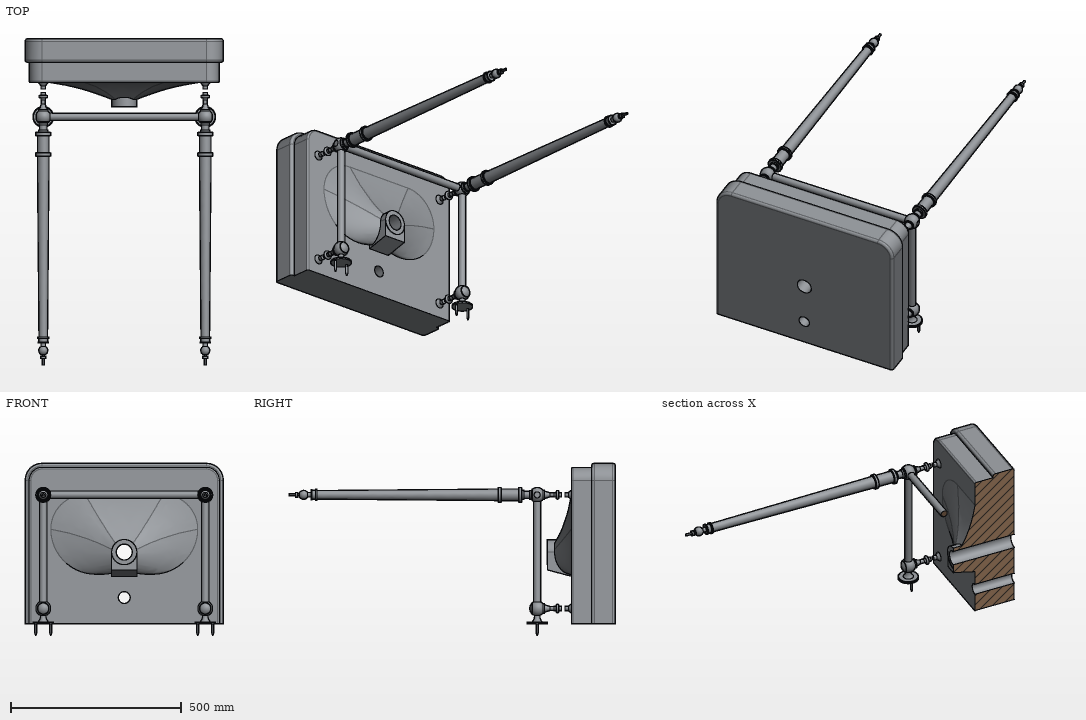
import cadquery as cq
import math


BASIN_WIDTH = 580.37
BASIN_DEPTH = 470.0
RIM_HEIGHT = 70.0
BASIN_HEIGHT = 129.0
RIM_OVERHANG = 12.0
RIM_CORNER_RADIUS = 50.0
RIM_FILLET = 8.0
UNDERSIDE_FILLET = 5.0

BOWL_HALF_WIDTH = 215.0
BOWL_SIDE_Z = 277.0
BOWL_UPPER_RADIUS = 101.0
BOWL_LOWER_RADIUS = 132.0
BOWL_LOWER_BEND_ANGLE = -60.0
BOWL_MIDDLE_Y = -155.0
BOWL_MIDDLE_TOP = (56.0, 281.0)
BOWL_MIDDLE_UPPER_BEND = (82.0, 268.0)
BOWL_MIDDLE_SIDE = (97.0, 245.0)
BOWL_MIDDLE_LOWER_BEND = (76.0, 172.0)
BOWL_MIDDLE_CUSP_Z = 162.0
BOWL_END_Y = -178.0

DRAIN_Z = 210.0
DRAIN_RADIUS = 36.8
DRAIN_HOLE_RADIUS = 23.0
DRAIN_END_Y = -200.0
DRAIN_TOP_ANGLE = 45.0
DRAIN_SIDE_ANGLE = 12.0
DRAIN_BLOCK_BASE_Z = 139.0
DRAIN_BLOCK_END_Z = 157.5
DRAIN_BLOCK_SETBACK = 1.0

TAP_HOLE_Z = 77.0
TAP_HOLE_RADIUS = 17.0

LEG_X = 237.0
LEG_Z = 377.5
WALL_JOINT_Z = 45.0
STAND_Y = -229.0
BALL_RADIUS = 22.0
BALL_END_FLAT_RADIUS = 9.0
BALL_COLLAR_RADIUS = 17.0
BALL_COLLAR_END = 15.0
RAIL_RADIUS = 11.0
CROSSBAR_SEAT = math.sqrt(BALL_RADIUS**2 - RAIL_RADIUS**2)

PAD_BASE_RADIUS = 14.0
STEM_RADIUS = 6.8
PAD_FLARE_LENGTH = 9.0
PAD_LENGTH = 19.0
STEM_GAP = 9.5
STEM_BEAD_START = 8.5
STEM_BEAD_WIDTH = 7.0
STEM_BEAD_RADIUS = 13.0
STEM_COLLAR_LENGTH = 22.0
STEM_NECK_RADIUS = 6.2
STEM_NECK_LENGTH = 34.0
STEM_FLARE_RADIUS = 11.5
STEM_DISC_RADIUS = 14.0
STEM_DISC_OFFSET = 21.5

LEG_END_Y = -954.95
LEG_BOSS_RADIUS = 13.0
LEG_BOSS_END = 23.0
LEG_NECK_RADIUS = 11.0
LEG_NECK_END = 39.0
LEG_SHOULDER_RADIUS = 14.0
LEG_RING_RADIUS = 22.0
LEG_RING_WIDTH = 10.5
LEG_RING_CHAMFER = 1.5
LEG_RING_CENTRES = (50.0, 110.0)
LEG_TOP_RADIUS = 17.5
LEG_FOOT_RADIUS = 13.0
TAPER_END = 643.5

FOOT_RING_RADIUS = 16.5
FOOT_RING_END = 4.5
FOOT_COLLAR_RADIUS = 13.5
FOOT_COLLAR_END = 15.5
FOOT_LIP_RADIUS = 15.5
FOOT_LIP_END = 18.5
FOOT_WAIST_RADIUS = 7.0
FOOT_BALL_RADIUS = 13.5
FOOT_BALL_CENTRE = 40.0
FOOT_NUT_RADIUS = 7.5
FOOT_SPINDLE_RADIUS = 3.2
FOOT_NECK_END = 53.0
FOOT_NUT_START = 57.0
FOOT_NUT_END = 64.0

FLANGE_RADIUS = 30.5
FLANGE_THICKNESS = 6.0
FLANGE_CHAMFER = 2.0
FLANGE_FLARE_RADIUS = 15.0
FLANGE_FLARE_MIDDLE = (9.8, 14.0)
FLANGE_FLARE_TOP_Z = 25.0
FLANGE_NECK_RADIUS = 8.5
SCREW_OFFSET_X = 22.0
SCREW_RADIUS = 3.2
SCREW_LENGTH = 33.88
SCREW_TIP_LENGTH = 7.0
SCREW_TIP_RADIUS = 1.0

SIDES = (-1, 1)
TOP_ANGLE = 90.0
JOINT_HEIGHTS = (LEG_Z, WALL_JOINT_Z)


def turned(profile):
    """Solid of revolution about the Y axis; the closed profile is drawn as (radius, y)."""
    return profile.close().revolve(360, (0, 0, 0), (0, 1, 0))


def cylinder_along_y(x, z, radius, start_y, end_y):
    """Round bar parallel to Y, starting at start_y and ending further down at end_y."""
    return cq.Workplane("XZ", origin=(x, start_y, z)).circle(radius).extrude(start_y - end_y)


def basin_tier(inset, start_y, end_y):
    """One tier of the basin: a block on the wall with its two outer corners rounded."""
    half_width = BASIN_WIDTH / 2 - inset
    height = BASIN_DEPTH - inset
    tier = (
        cq.Workplane("XZ", origin=(0, start_y, height / 2))
        .rect(2 * half_width, height)
        .extrude(start_y - end_y)
    )
    return tier.edges("|Y and >Z").fillet(RIM_CORNER_RADIUS - inset)


def soften(tier, face, radius):
    """Round the outline of a tier's face, leaving the straight edge along the wall sharp."""
    return tier.faces(face).edges("not(<Z)").fillet(radius)


def bowl_section(y, top, upper_bend, side, lower_bend, cusp_z):
    """Closed section of five edges: the top edge, then an upper and a lower arc on each side."""
    return (
        cq.Workplane("XZ", origin=(0, y, 0))
        .moveTo(-top[0], top[1])
        .lineTo(*top)
        .threePointArc(upper_bend, side)
        .threePointArc(lower_bend, (0, cusp_z))
        .threePointArc((-lower_bend[0], lower_bend[1]), (-side[0], side[1]))
        .threePointArc((-upper_bend[0], upper_bend[1]), (-top[0], top[1]))
        .close()
        .wires()
        .val()
    )


def on_circle(centre_x, centre_z, radius, degrees):
    """Point (X, Z) on a circle, its angle measured from +X towards +Z."""
    angle = math.radians(degrees)
    return (centre_x + radius * math.cos(angle), centre_z + radius * math.sin(angle))


def make_bowl():
    """Two-lobed bulge that narrows from the underside to the drain outlet."""
    upper_centre = BOWL_HALF_WIDTH - BOWL_UPPER_RADIUS
    lower_centre = BOWL_HALF_WIDTH - BOWL_LOWER_RADIUS
    outline = bowl_section(
        -BASIN_HEIGHT,
        on_circle(upper_centre, BOWL_SIDE_Z, BOWL_UPPER_RADIUS, TOP_ANGLE),
        on_circle(upper_centre, BOWL_SIDE_Z, BOWL_UPPER_RADIUS, TOP_ANGLE / 2),
        (BOWL_HALF_WIDTH, BOWL_SIDE_Z),
        on_circle(lower_centre, BOWL_SIDE_Z, BOWL_LOWER_RADIUS, BOWL_LOWER_BEND_ANGLE),
        BOWL_SIDE_Z - math.sqrt(BOWL_LOWER_RADIUS**2 - lower_centre**2),
    )
    middle = bowl_section(
        BOWL_MIDDLE_Y,
        BOWL_MIDDLE_TOP,
        BOWL_MIDDLE_UPPER_BEND,
        BOWL_MIDDLE_SIDE,
        BOWL_MIDDLE_LOWER_BEND,
        BOWL_MIDDLE_CUSP_Z,
    )
    upper_bend_angle = (DRAIN_TOP_ANGLE + DRAIN_SIDE_ANGLE) / 2
    lower_bend_angle = (DRAIN_SIDE_ANGLE - TOP_ANGLE) / 2
    outlet = bowl_section(
        BOWL_END_Y,
        on_circle(0, DRAIN_Z, DRAIN_RADIUS, DRAIN_TOP_ANGLE),
        on_circle(0, DRAIN_Z, DRAIN_RADIUS, upper_bend_angle),
        on_circle(0, DRAIN_Z, DRAIN_RADIUS, DRAIN_SIDE_ANGLE),
        on_circle(0, DRAIN_Z, DRAIN_RADIUS, lower_bend_angle),
        DRAIN_Z - DRAIN_RADIUS,
    )
    return cq.Workplane(cq.Solid.makeLoft([outline, middle, outlet]))


def make_drain_block():
    """Block beside the outlet, sloped on its wall side and ending just short of the outlet."""
    end_y = DRAIN_END_Y + DRAIN_BLOCK_SETBACK
    return (
        cq.Workplane("YZ")
        .moveTo(-BASIN_HEIGHT, DRAIN_Z)
        .lineTo(-BASIN_HEIGHT, DRAIN_BLOCK_BASE_Z)
        .lineTo(end_y, DRAIN_BLOCK_END_Z)
        .lineTo(end_y, DRAIN_Z)
        .close()
        .extrude(DRAIN_RADIUS, both=True)
    )


def make_basin():
    rim = basin_tier(0, 0, -RIM_HEIGHT)
    rim = soften(soften(rim, ">Y", RIM_FILLET), "<Y", RIM_FILLET)
    lower_tier = soften(basin_tier(RIM_OVERHANG, -RIM_HEIGHT, -BASIN_HEIGHT), "<Y", UNDERSIDE_FILLET)
    basin = rim.union(lower_tier).union(make_bowl()).union(make_drain_block())
    basin = basin.union(cylinder_along_y(0, DRAIN_Z, DRAIN_RADIUS, -BASIN_HEIGHT, DRAIN_END_Y))
    basin = basin.cut(cylinder_along_y(0, DRAIN_Z, DRAIN_HOLE_RADIUS, 0, DRAIN_END_Y))
    return basin.cut(cylinder_along_y(0, TAP_HOLE_Z, TAP_HOLE_RADIUS, 0, -BASIN_HEIGHT))


def make_pad(x, z):
    """Flared round foot under the basin, ending short of the stand's stem."""
    profile = (
        cq.Workplane()
        .lineTo(PAD_BASE_RADIUS, 0)
        .lineTo(STEM_RADIUS, -PAD_FLARE_LENGTH)
        .lineTo(STEM_RADIUS, -PAD_LENGTH)
        .lineTo(0, -PAD_LENGTH)
    )
    return turned(profile).translate((x, -BASIN_HEIGHT, z))


def make_crossbar():
    """Round bar between the inner flats of the two upper balls."""
    half_length = LEG_X - CROSSBAR_SEAT
    bar = cq.Workplane("YZ").circle(RAIL_RADIUS).extrude(2 * half_length)
    return bar.translate((-half_length, STAND_Y, LEG_Z))


def make_stem():
    """Turned stem from the gap below a pad down to its ball, which is centred on the origin."""
    start = -BASIN_HEIGHT - PAD_LENGTH - STEM_GAP - STAND_Y
    bead_start = start - STEM_BEAD_START
    bead_end = bead_start - STEM_BEAD_WIDTH
    profile = (
        cq.Workplane()
        .moveTo(0, 0)
        .lineTo(STEM_DISC_RADIUS, 0)
        .lineTo(STEM_DISC_RADIUS, STEM_DISC_OFFSET)
        .lineTo(STEM_FLARE_RADIUS, STEM_DISC_OFFSET)
        .lineTo(STEM_NECK_RADIUS, start - STEM_NECK_LENGTH)
        .lineTo(STEM_NECK_RADIUS, start - STEM_COLLAR_LENGTH)
        .lineTo(STEM_RADIUS, start - STEM_COLLAR_LENGTH)
        .lineTo(STEM_RADIUS, bead_end)
        .threePointArc((STEM_BEAD_RADIUS, (bead_start + bead_end) / 2), (STEM_RADIUS, bead_start))
        .lineTo(STEM_RADIUS, start)
        .lineTo(0, start)
    )
    return turned(profile)


def make_leg():
    """Turned leg running along -Y from the ball, centred on the origin, to the foot."""
    foot_y = -TAPER_END
    waist_y = foot_y - FOOT_LIP_END
    ball_y = foot_y - FOOT_BALL_CENTRE
    waist_reach = math.sqrt(FOOT_BALL_RADIUS**2 - FOOT_WAIST_RADIUS**2)
    nut_reach = math.sqrt(FOOT_BALL_RADIUS**2 - FOOT_NUT_RADIUS**2)
    end_y = LEG_END_Y - STAND_Y
    upper_ring, lower_ring = LEG_RING_CENTRES
    profile = (
        cq.Workplane()
        .lineTo(LEG_BOSS_RADIUS, 0)
        .lineTo(LEG_BOSS_RADIUS, -LEG_BOSS_END)
        .lineTo(LEG_NECK_RADIUS, -LEG_BOSS_END)
        .lineTo(LEG_NECK_RADIUS, -LEG_NECK_END)
        .lineTo(LEG_SHOULDER_RADIUS, -LEG_NECK_END)
        .lineTo(LEG_SHOULDER_RADIUS, -upper_ring)
        .lineTo(LEG_TOP_RADIUS, -upper_ring)
        .lineTo(LEG_TOP_RADIUS, -lower_ring)
        .lineTo(LEG_FOOT_RADIUS, foot_y)
        .lineTo(FOOT_RING_RADIUS, foot_y)
        .lineTo(FOOT_RING_RADIUS, foot_y - FOOT_RING_END)
        .lineTo(FOOT_COLLAR_RADIUS, foot_y - FOOT_RING_END)
        .lineTo(FOOT_COLLAR_RADIUS, foot_y - FOOT_COLLAR_END)
        .lineTo(FOOT_LIP_RADIUS, foot_y - FOOT_COLLAR_END)
        .lineTo(FOOT_LIP_RADIUS, waist_y)
        .lineTo(FOOT_WAIST_RADIUS, waist_y)
        .lineTo(FOOT_WAIST_RADIUS, ball_y + waist_reach)
        .threePointArc((FOOT_BALL_RADIUS, ball_y), (FOOT_NUT_RADIUS, ball_y - nut_reach))
        .lineTo(FOOT_NUT_RADIUS, foot_y - FOOT_NECK_END)
        .lineTo(FOOT_SPINDLE_RADIUS, foot_y - FOOT_NECK_END)
        .lineTo(FOOT_SPINDLE_RADIUS, foot_y - FOOT_NUT_START)
        .lineTo(FOOT_NUT_RADIUS, foot_y - FOOT_NUT_START)
        .lineTo(FOOT_NUT_RADIUS, foot_y - FOOT_NUT_END)
        .lineTo(FOOT_SPINDLE_RADIUS, foot_y - FOOT_NUT_END)
        .lineTo(FOOT_SPINDLE_RADIUS, end_y)
        .lineTo(0, end_y)
    )
    leg = turned(profile)
    for ring_centre in LEG_RING_CENTRES:
        leg = leg.union(make_leg_ring(-ring_centre))
    return leg


def make_leg_ring(y):
    """Disc with chamfered edges around the leg."""
    disc = cylinder_along_y(0, 0, LEG_RING_RADIUS, y + LEG_RING_WIDTH / 2, y - LEG_RING_WIDTH / 2)
    return disc.faces("|Y").edges().chamfer(LEG_RING_CHAMFER)


def make_upper_ball():
    """Ball centred on the origin, with an outer flat and a flat that seats the crossbar on +X."""
    outer_flat = math.sqrt(BALL_RADIUS**2 - BALL_END_FLAT_RADIUS**2)
    ball = cq.Workplane().sphere(BALL_RADIUS)
    start = cq.Workplane("YZ", origin=(-outer_flat, 0, 0))
    between_flats = start.circle(BALL_RADIUS).extrude(outer_flat + CROSSBAR_SEAT)
    return ball.intersect(between_flats)


def make_flange():
    """Round wall plate with a flared neck that reaches up to the lower ball."""
    profile = (
        cq.Workplane("XZ")
        .lineTo(FLANGE_RADIUS, 0)
        .lineTo(FLANGE_RADIUS, FLANGE_THICKNESS - FLANGE_CHAMFER)
        .lineTo(FLANGE_RADIUS - FLANGE_CHAMFER, FLANGE_THICKNESS)
        .lineTo(FLANGE_FLARE_RADIUS, FLANGE_THICKNESS)
        .threePointArc(FLANGE_FLARE_MIDDLE, (FLANGE_NECK_RADIUS, FLANGE_FLARE_TOP_Z))
        .lineTo(FLANGE_NECK_RADIUS, WALL_JOINT_Z)
        .lineTo(0, WALL_JOINT_Z)
    )
    return profile.close().revolve(360, (0, 0, 0), (0, 1, 0))


def make_screw(x):
    """Pointed screw going into the wall from the flange."""
    profile = (
        cq.Workplane("XZ")
        .lineTo(SCREW_RADIUS, 0)
        .lineTo(SCREW_RADIUS, SCREW_TIP_LENGTH - SCREW_LENGTH)
        .lineTo(SCREW_TIP_RADIUS, -SCREW_LENGTH)
        .lineTo(0, -SCREW_LENGTH)
    )
    return profile.close().revolve(360, (0, 0, 0), (0, 1, 0)).translate((x, 0, 0))


def make_stand(side):
    """Leg, rail to the wall, flange and two stems of one side, joined in one solid."""
    rail = cq.Workplane("XY").circle(RAIL_RADIUS).extrude(LEG_Z - WALL_JOINT_Z)
    stand = make_flange().union(rail.translate((0, 0, WALL_JOINT_Z)))
    for screw_side in SIDES:
        stand = stand.union(make_screw(screw_side * SCREW_OFFSET_X))
    stand = stand.union(cq.Workplane().sphere(BALL_RADIUS).translate((0, 0, WALL_JOINT_Z)))
    stand = stand.union(make_upper_ball().translate((0, 0, LEG_Z)))
    stand = stand.union(make_leg().translate((0, 0, LEG_Z)))
    collar = cylinder_along_y(0, 0, BALL_COLLAR_RADIUS, 0, -BALL_COLLAR_END)
    for height in JOINT_HEIGHTS:
        stand = stand.union(collar.translate((0, 0, height)))
        stand = stand.union(make_stem().translate((0, 0, height)))
    stand = stand.translate((-LEG_X, STAND_Y, 0))
    return stand if side < 0 else stand.mirror("YZ")


basin = make_basin()
pads = [make_pad(side * LEG_X, height) for side in SIDES for height in JOINT_HEIGHTS]
crossbar = make_crossbar()
stands = [make_stand(side) for side in SIDES]

result = cq.Compound.makeCompound(
    [
        basin.val(),
        *[pad.val() for pad in pads],
        crossbar.val(),
        *[stand.val() for stand in stands],
    ]
)